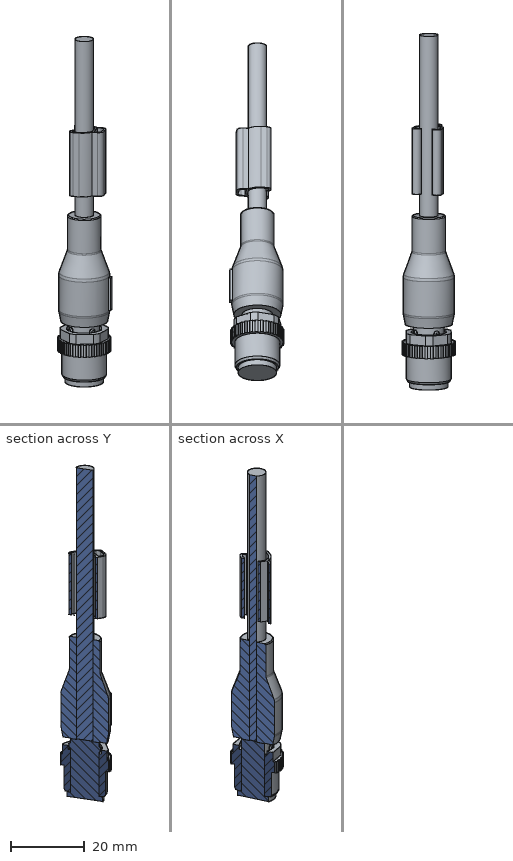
import cadquery as cq
import math

TOTAL_LENGTH = 97.0
NUT_BOTTOM = 1.6
COLLAR_BOTTOM = 9.0
COLLAR_TOP = 12.4
NUT_TOP = 15.1
GRIP_BOTTOM = 17.3
GRIP_TOP = 47.2
CLIP_BOTTOM = 53.4
CLIP_LENGTH = 18.0

CABLE_RADIUS = 2.5

FLANGE_RADIUS = 5.2
NECK_RADIUS = 4.2
BUMP_COUNT = 4
BUMP_RADIUS = 0.9
BUMP_REACH = 4.7
BUMP_CHAMFER = 0.4

NUT_RADIUS = 6.1
NUT_CHAMFER_HEIGHT = 0.7
NUT_CHAMFER_WIDTH = 0.4
COLLAR_RADIUS = 7.3
GROOVE_COUNT = 30
GROOVE_DEPTH = 0.3
HEX_ACROSS_FLATS = 2 * NUT_RADIUS
HEX_CORNER_DIAMETER = 13.1
MOUTH_RADIUS = 4.8
MOUTH_DEPTH = 1.2

GRIP_RADIUS = 7.0
GRIP_BASE_RADIUS = 6.4
GRIP_TAPER_TOP = 20.3
GRIP_CONE_BOTTOM = 30.7
GRIP_CONE_TOP = 37.3
GRIP_SLEEVE_RADIUS = 4.6
GRIP_SLEEVE_CHAMFER = 0.3
GRIP_TAPER_BLEND = 2.4
GRIP_SHOULDER_BLEND = 2.5
GRIP_SLEEVE_BLEND = 1.2
EDGE_SEARCH_MARGIN = 0.1

MARK_REACH = 7.6
MARK_WIDTH = 1.7
MARK_BOTTOM = 20.9
MARK_TOP = 30.1

MARK_ANGLE = 45.0

BOW_INNER_RADIUS = 3.4
BOW_CENTER_OFFSET = 0.5
CLIP_WALL = 0.7
LEG_LENGTH = 1.65
HOOK_INNER_RADIUS = 0.6
POCKET_FRAME_NEAR = 2.6
POCKET_FRAME_FAR = 5.7
POCKET_FRAME_WIDTH = 5.0
POCKET_FRAME_CORNER = 1.5
POCKET_WALL = 0.6


def make_cable():
    """Round cable, running from the carrier up through the grip and the clip."""
    return (
        cq.Workplane("XY").workplane(offset=GRIP_BOTTOM)
        .circle(CABLE_RADIUS).extrude(TOTAL_LENGTH - GRIP_BOTTOM)
    )


def make_carrier():
    """Flange below the nut, a neck up to the grip, and round bumps standing out at the nut's mouth."""
    flange = cq.Workplane("XY").circle(FLANGE_RADIUS).extrude(NUT_BOTTOM)
    neck = cq.Workplane("XY").circle(NECK_RADIUS).extrude(GRIP_BOTTOM)
    carrier = flange.union(neck)
    bump = (
        cq.Workplane("YZ").center(0, NUT_TOP).circle(BUMP_RADIUS).extrude(BUMP_REACH)
        .faces(">X").chamfer(BUMP_CHAMFER)
    )
    for index in range(BUMP_COUNT):
        carrier = carrier.union(bump.rotate((0, 0, 0), (0, 0, 1), index * 360 / BUMP_COUNT))
    return carrier


def make_nut():
    """Round barrel, knurled collar and a hexagon with turned-down corners, open at the top."""
    barrel = (
        cq.Workplane("XY").workplane(offset=NUT_BOTTOM)
        .circle(NUT_RADIUS).extrude(NUT_TOP - NUT_BOTTOM)
        .faces("<Z").chamfer(NUT_CHAMFER_HEIGHT, NUT_CHAMFER_WIDTH)
    )
    collar = (
        cq.Workplane("XY").workplane(offset=COLLAR_BOTTOM)
        .circle(COLLAR_RADIUS).extrude(COLLAR_TOP - COLLAR_BOTTOM)
    )
    groove_width = math.pi * COLLAR_RADIUS / GROOVE_COUNT
    grooves = (
        cq.Workplane("XY").workplane(offset=COLLAR_BOTTOM)
        .polarArray(COLLAR_RADIUS, 0, 360, GROOVE_COUNT)
        .rect(2 * GROOVE_DEPTH, groove_width)
        .extrude(COLLAR_TOP - COLLAR_BOTTOM)
    )
    hex_height = NUT_TOP - COLLAR_TOP
    sharp_hex_diameter = HEX_ACROSS_FLATS / math.cos(math.pi / 6)
    hex_base = cq.Workplane("XY").workplane(offset=COLLAR_TOP)
    hexagon = (
        hex_base.polygon(6, sharp_hex_diameter).extrude(hex_height)
        .intersect(hex_base.circle(HEX_CORNER_DIAMETER / 2).extrude(hex_height))
    )
    bore = cq.Workplane("XY").circle(NECK_RADIUS).extrude(NUT_TOP)
    mouth = (
        cq.Workplane("XY").workplane(offset=NUT_TOP - MOUTH_DEPTH)
        .circle(MOUTH_RADIUS).extrude(MOUTH_DEPTH)
    )
    return barrel.union(collar.cut(grooves)).union(hexagon).cut(bore).cut(mouth)


def make_grip():
    """Turned grip with a cable bore and a raised mark along its side."""
    body = (
        cq.Workplane("XZ")
        .polyline([
            (0, GRIP_BOTTOM),
            (GRIP_BASE_RADIUS, GRIP_BOTTOM),
            (GRIP_RADIUS, GRIP_TAPER_TOP),
            (GRIP_RADIUS, GRIP_CONE_BOTTOM),
            (GRIP_SLEEVE_RADIUS, GRIP_CONE_TOP),
            (GRIP_SLEEVE_RADIUS, GRIP_TOP),
            (0, GRIP_TOP),
        ])
        .close().revolve(360, (0, 0, 0), (0, 1, 0))
        .faces(">Z").chamfer(GRIP_SLEEVE_CHAMFER)
    )
    for height, blend in (
        (GRIP_TAPER_TOP, GRIP_TAPER_BLEND),
        (GRIP_CONE_BOTTOM, GRIP_SHOULDER_BLEND),
        (GRIP_CONE_TOP, GRIP_SLEEVE_BLEND),
    ):
        ring = cq.selectors.BoxSelector(
            (-GRIP_RADIUS, -GRIP_RADIUS, height - EDGE_SEARCH_MARGIN),
            (GRIP_RADIUS, GRIP_RADIUS, height + EDGE_SEARCH_MARGIN),
        )
        body = body.edges("%CIRCLE").edges(ring).fillet(blend)
    mark = (
        cq.Workplane("XY").box(MARK_REACH, MARK_WIDTH, MARK_TOP - MARK_BOTTOM, (False, True, False))
        .translate((0, 0, MARK_BOTTOM))
        .rotate((0, 0, 0), (0, 0, 1), MARK_ANGLE)
    )
    bore = cq.Workplane("XY").circle(CABLE_RADIUS).extrude(GRIP_TOP)
    return body.union(mark).cut(bore)


def make_clip():
    """Spring clip around the cable: a bow with two hooked legs and a label pocket on its back."""
    base = cq.Workplane("XY")
    bow_outer_radius = BOW_INNER_RADIUS + CLIP_WALL
    hook_outer_radius = HOOK_INNER_RADIUS + CLIP_WALL
    hook_center = bow_outer_radius - hook_outer_radius

    ring = base.circle(bow_outer_radius).circle(BOW_INNER_RADIUS).extrude(CLIP_LENGTH)
    front_half = base.box(
        bow_outer_radius, 2 * bow_outer_radius, CLIP_LENGTH, (False, True, False)
    )
    clip = ring.intersect(front_half)

    for side in (1, -1):
        leg = (
            base.moveTo(0, side * BOW_INNER_RADIUS)
            .lineTo(0, side * bow_outer_radius)
            .lineTo(-LEG_LENGTH, side * bow_outer_radius)
            .threePointArc(
                (-LEG_LENGTH - hook_outer_radius, side * hook_center),
                (-LEG_LENGTH, side * (hook_center - hook_outer_radius)),
            )
            .lineTo(-LEG_LENGTH, side * (hook_center - HOOK_INNER_RADIUS))
            .threePointArc(
                (-LEG_LENGTH - HOOK_INNER_RADIUS, side * hook_center),
                (-LEG_LENGTH, side * BOW_INNER_RADIUS),
            )
            .close().extrude(CLIP_LENGTH)
        )
        clip = clip.union(leg)
    clip = clip.translate((-BOW_CENTER_OFFSET, 0, 0))

    frame_depth = POCKET_FRAME_FAR - POCKET_FRAME_NEAR
    frame = (
        base.box(frame_depth, POCKET_FRAME_WIDTH, CLIP_LENGTH, (False, True, False))
        .edges("|Z and >X").fillet(POCKET_FRAME_CORNER)
        .translate((POCKET_FRAME_NEAR, 0, 0))
    )
    pocket = (
        base.box(
            frame_depth - 2 * POCKET_WALL, POCKET_FRAME_WIDTH - 2 * POCKET_WALL, CLIP_LENGTH,
            (False, True, False),
        )
        .edges("|Z and >X").fillet(POCKET_FRAME_CORNER - POCKET_WALL)
        .translate((POCKET_FRAME_NEAR + POCKET_WALL, 0, 0))
    )
    return (
        clip.union(frame).cut(pocket)
        .rotate((0, 0, 0), (0, 0, 1), MARK_ANGLE)
        .translate((0, 0, CLIP_BOTTOM))
    )


cable = make_cable()
carrier = make_carrier()
nut = make_nut()
grip = make_grip()
clip = make_clip()

result = cq.Compound.makeCompound([
    cable.val(),
    carrier.val(),
    nut.val(),
    grip.val(),
    clip.val(),
])